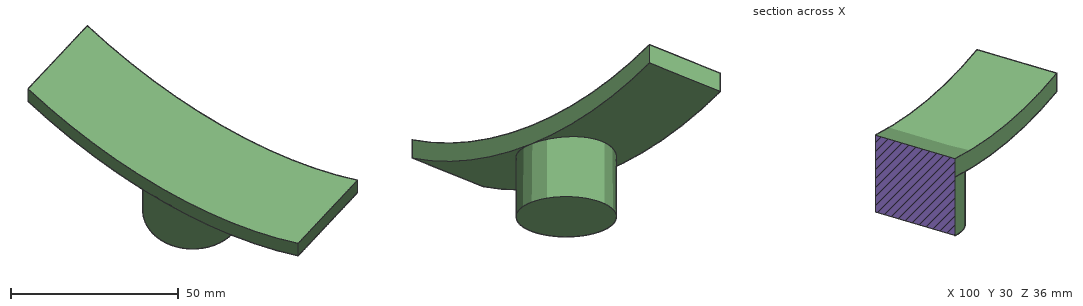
import cadquery as cq

length = 100.0
width = 30.0
thickness = 6.0
sag = 11.0
stem_diameter = 30.0
stem_height = 19.0


def make_saddle():
    """Curved plate whose lower and upper faces are the same arc, one raised above the other."""
    half_length = length / 2
    lower_middle = stem_height
    lower_end = lower_middle + sag
    upper_middle = lower_middle + thickness
    upper_end = lower_end + thickness
    return (
        cq.Workplane("XZ")
        .moveTo(-half_length, lower_end)
        .threePointArc((0, lower_middle), (half_length, lower_end))
        .lineTo(half_length, upper_end)
        .threePointArc((0, upper_middle), (-half_length, upper_end))
        .close()
        .extrude(width / 2, both=True)
    )


def make_stem():
    """Round stem, its top buried inside the saddle so it meets the curved underside."""
    buried_depth = thickness / 2
    return cq.Workplane("XY").circle(stem_diameter / 2).extrude(stem_height + buried_depth)


result = make_saddle().union(make_stem())